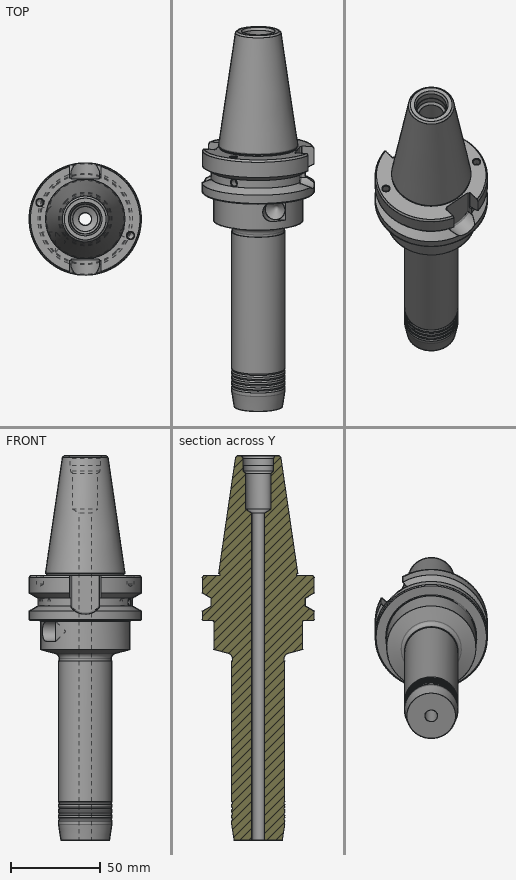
import cadquery as cq
import math

GAUGE_RADIUS = 44.45 / 2
TAPER_LENGTH = 65.4
TAPER_SLOPE = 7 / 48
TAPER_TIP_CHAMFER = 1.0

RELIEF_START_Z = -0.5
RELIEF_END_Z = -1.0
RELIEF_RADIUS = 21.6

FLANGE_RADIUS = 62.95 / 2
FLANGE_TOP_Z = -1.6
FLANGE_BOTTOM_Z = -27.0
FLANGE_TOP_CHAMFER_WIDTH = 0.8
FLANGE_TOP_CHAMFER_HEIGHT = 1.2
FLANGE_BOTTOM_CHAMFER = 0.6
GROOVE_RADIUS = 26.5
GROOVE_CENTRE_Z = -16.6
GROOVE_FLOOR_WIDTH = 4.4
GROOVE_FLANK_DEG = 30.0

KEY_WIDTH = 16.1
KEY_MOUTH_WIDTH = 17.6
KEY_FLOOR_Y = 22.5
KEY_FLOOR_FILLET = 0.6
KEY_BOTTOM_Z = -23.4
KEY_END_RADIUS = 10.2

COOLANT_DIAMETER = 3.8
COOLANT_MOUTH_DIAMETER = 4.6
COOLANT_PITCH_RADIUS = 27.0
COOLANT_ANGLE_DEG = 160.0
COOLANT_DEPTH = 5.0

BODY_RADIUS = 25.0
BODY_BOTTOM_Z = -43.2
BODY_CONE_DEG = 15.0
BODY_ROOT_FILLET = 0.5
NECK_RADIUS = 14.6
NECK_FILLET = 3.0

NOSE_RADIUS = 15.0
NOSE_TOP_Z = -49.6
NOSE_BOTTOM_Z = -150.0
NOSE_TIP_RADIUS = 13.6
NOSE_TAPER_START_Z = -141.0
RING_COUNT = 4
RING_PITCH = 3.0
RING_TOP_Z = -128.2
RING_WIDTH = 1.8
RING_DEPTH = 0.5

NOTCH_Y = -12.8
NOTCH_Z = -33.0
NOTCH_DIAMETER = 11.2
NOTCH_FLOOR_X = -16.5
NOTCH_POINT_DEG = 90.0

BORE_MOUTH_RADIUS = 9.4
BORE_MOUTH_DEPTH = 1.5
BORE_RADIUS = 8.5
BORE_DEPTH = 5.5
PILOT_RADIUS = 8.3
PILOT_DEPTH = 8.7
THREAD_RADIUS = 7.0
THREAD_END_DEPTH = 30.0
THROUGH_RADIUS = 3.5

DRILL_POINT_DEG = 118.0

MARGIN = 5.0


def turned_blank():
    """Revolve the whole outer outline about Z."""
    tip_radius = GAUGE_RADIUS - TAPER_SLOPE * TAPER_LENGTH
    chamfer_z = TAPER_LENGTH - TAPER_TIP_CHAMFER
    chamfer_radius = GAUGE_RADIUS - TAPER_SLOPE * chamfer_z

    groove_top_z = GROOVE_CENTRE_Z + GROOVE_FLOOR_WIDTH / 2
    groove_bottom_z = GROOVE_CENTRE_Z - GROOVE_FLOOR_WIDTH / 2
    flank_height = (FLANGE_RADIUS - GROOVE_RADIUS) * math.tan(math.radians(GROOVE_FLANK_DEG))

    cone = math.radians(BODY_CONE_DEG)
    cone_foot_z = BODY_BOTTOM_Z - (BODY_RADIUS - NECK_RADIUS) * math.tan(cone)
    tangent_length = NECK_FILLET * math.tan((math.pi / 2 - cone) / 2)
    fillet_start = (
        NECK_RADIUS + tangent_length * math.cos(cone),
        cone_foot_z + tangent_length * math.sin(cone),
    )
    fillet_end = (NECK_RADIUS, cone_foot_z - tangent_length)
    fillet_centre = (NECK_RADIUS + NECK_FILLET, fillet_end[1])
    middle_angle = (math.pi + math.pi / 2 + cone) / 2
    fillet_middle = (
        fillet_centre[0] + NECK_FILLET * math.cos(middle_angle),
        fillet_centre[1] + NECK_FILLET * math.sin(middle_angle),
    )

    outline = (
        cq.Workplane("XZ")
        .moveTo(0, TAPER_LENGTH)
        .lineTo(tip_radius - TAPER_TIP_CHAMFER, TAPER_LENGTH)
        .lineTo(chamfer_radius, chamfer_z)
        .lineTo(GAUGE_RADIUS, 0)
        .lineTo(GAUGE_RADIUS, RELIEF_START_Z)
        .lineTo(RELIEF_RADIUS, RELIEF_END_Z)
        .lineTo(RELIEF_RADIUS, FLANGE_TOP_Z)
        .lineTo(FLANGE_RADIUS - FLANGE_TOP_CHAMFER_WIDTH, FLANGE_TOP_Z)
        .lineTo(FLANGE_RADIUS, FLANGE_TOP_Z - FLANGE_TOP_CHAMFER_HEIGHT)
        .lineTo(FLANGE_RADIUS, groove_top_z + flank_height)
        .lineTo(GROOVE_RADIUS, groove_top_z)
        .lineTo(GROOVE_RADIUS, groove_bottom_z)
        .lineTo(FLANGE_RADIUS, groove_bottom_z - flank_height)
        .lineTo(FLANGE_RADIUS, FLANGE_BOTTOM_Z + FLANGE_BOTTOM_CHAMFER)
        .lineTo(FLANGE_RADIUS - FLANGE_BOTTOM_CHAMFER, FLANGE_BOTTOM_Z)
        .lineTo(BODY_RADIUS + BODY_ROOT_FILLET, FLANGE_BOTTOM_Z)
        .radiusArc((BODY_RADIUS, FLANGE_BOTTOM_Z - BODY_ROOT_FILLET), -BODY_ROOT_FILLET)
        .lineTo(BODY_RADIUS, BODY_BOTTOM_Z)
        .lineTo(*fillet_start)
        .threePointArc(fillet_middle, fillet_end)
        .lineTo(NECK_RADIUS, NOSE_TOP_Z)
        .lineTo(NOSE_RADIUS, NOSE_TOP_Z)
    )
    for ring in range(RING_COUNT):
        ring_z = RING_TOP_Z - ring * RING_PITCH
        outline = (
            outline.lineTo(NOSE_RADIUS, ring_z)
            .lineTo(NOSE_RADIUS - RING_DEPTH, ring_z - RING_WIDTH / 2)
            .lineTo(NOSE_RADIUS, ring_z - RING_WIDTH)
        )
    outline = (
        outline.lineTo(NOSE_RADIUS, NOSE_TAPER_START_Z)
        .lineTo(NOSE_TIP_RADIUS, NOSE_BOTTOM_Z)
        .lineTo(0, NOSE_BOTTOM_Z)
        .close()
    )
    return outline.revolve(360, (0, 0, 0), (0, 1, 0))


def bore():
    """Stepped bore from the small end, ending in a through hole."""
    cone_height = (THREAD_RADIUS - THROUGH_RADIUS) / math.tan(math.radians(DRILL_POINT_DEG / 2))
    thread_end_z = TAPER_LENGTH - THREAD_END_DEPTH
    pilot_end_z = TAPER_LENGTH - PILOT_DEPTH
    lead_in_height = PILOT_RADIUS - THREAD_RADIUS
    return (
        cq.Workplane("XZ")
        .moveTo(0, TAPER_LENGTH)
        .lineTo(BORE_MOUTH_RADIUS, TAPER_LENGTH)
        .lineTo(BORE_RADIUS, TAPER_LENGTH - BORE_MOUTH_DEPTH)
        .lineTo(BORE_RADIUS, TAPER_LENGTH - BORE_DEPTH)
        .lineTo(PILOT_RADIUS, TAPER_LENGTH - BORE_DEPTH)
        .lineTo(PILOT_RADIUS, pilot_end_z)
        .lineTo(THREAD_RADIUS, pilot_end_z - lead_in_height)
        .lineTo(THREAD_RADIUS, thread_end_z)
        .lineTo(THROUGH_RADIUS, thread_end_z - cone_height)
        .lineTo(THROUGH_RADIUS, NOSE_BOTTOM_Z)
        .lineTo(0, NOSE_BOTTOM_Z)
        .close()
        .revolve(360, (0, 0, 0), (0, 1, 0))
    )


def key_slot():
    """Round-ended slot on the +Y side, stepped wider through the upper rim."""
    depth = FLANGE_RADIUS + MARGIN - KEY_FLOOR_Y
    end_height = KEY_END_RADIUS - math.sqrt(KEY_END_RADIUS**2 - (KEY_WIDTH / 2) ** 2)
    corner_z = KEY_BOTTOM_Z + end_height
    blade = (
        cq.Workplane("XZ")
        .moveTo(-KEY_WIDTH / 2, FLANGE_TOP_Z)
        .lineTo(-KEY_WIDTH / 2, corner_z)
        .threePointArc((0, KEY_BOTTOM_Z), (KEY_WIDTH / 2, corner_z))
        .lineTo(KEY_WIDTH / 2, FLANGE_TOP_Z)
        .close()
        .extrude(-depth)
        .translate((0, KEY_FLOOR_Y, 0))
    )
    blade = blade.faces("<Y").edges("not >Z").fillet(KEY_FLOOR_FILLET)

    rim_bottom_z = GROOVE_CENTRE_Z + GROOVE_FLOOR_WIDTH / 2
    mouth = (
        cq.Workplane("XY")
        .box(KEY_MOUTH_WIDTH, depth, FLANGE_TOP_Z - rim_bottom_z, centered=(True, False, False))
        .translate((0, KEY_FLOOR_Y + KEY_FLOOR_FILLET, rim_bottom_z))
    )
    return blade.union(mouth)


def drilled_hole(start, direction, diameter, depth, point_deg):
    """Blind round hole with a conical drill point beyond its full depth."""
    radius = diameter / 2
    point_height = radius / math.tan(math.radians(point_deg / 2))
    start = cq.Vector(*start)
    direction = cq.Vector(*direction)
    barrel = cq.Solid.makeCylinder(radius, depth, start, direction)
    point = cq.Solid.makeCone(radius, 0, point_height, start + direction * depth, direction)
    return cq.Workplane(barrel.fuse(point))


def coolant_hole(start, direction):
    """Blind coolant hole with a 45 degree countersunk mouth."""
    hole = drilled_hole(start, direction, COOLANT_DIAMETER, COOLANT_DEPTH, DRILL_POINT_DEG)
    mouth_radius = COOLANT_MOUTH_DIAMETER / 2
    radius = COOLANT_DIAMETER / 2
    countersink = cq.Solid.makeCone(
        mouth_radius, radius, mouth_radius - radius, cq.Vector(*start), cq.Vector(*direction)
    )
    return hole.union(cq.Workplane(countersink))


def coolant_holes(angle_deg):
    """Hole down from the flange top and hole in from the groove floor at one angle."""
    outward_x = math.cos(math.radians(angle_deg))
    outward_y = math.sin(math.radians(angle_deg))
    top_start = (COOLANT_PITCH_RADIUS * outward_x, COOLANT_PITCH_RADIUS * outward_y, FLANGE_TOP_Z)
    groove_start = (GROOVE_RADIUS * outward_x, GROOVE_RADIUS * outward_y, GROOVE_CENTRE_Z)
    down = coolant_hole(top_start, (0, 0, -1))
    inward = coolant_hole(groove_start, (-outward_x, -outward_y, 0))
    return down.union(inward)


def balancing_notch():
    """Drilled pocket along X whose flat floor runs out through the -Y side."""
    depth = BODY_RADIUS + NOTCH_FLOOR_X
    hole = drilled_hole((-BODY_RADIUS, NOTCH_Y, NOTCH_Z), (1, 0, 0), NOTCH_DIAMETER, depth, NOTCH_POINT_DEG)
    run_out_length = BODY_RADIUS + NOTCH_Y
    run_out = cq.Workplane("XY").box(depth, run_out_length, NOTCH_DIAMETER).translate(
        (NOTCH_FLOOR_X - depth / 2, NOTCH_Y - run_out_length / 2, NOTCH_Z)
    )
    return hole.union(run_out)


result = turned_blank().cut(bore())
for turn_deg in (0, 180):
    result = result.cut(key_slot().rotate((0, 0, 0), (0, 0, 1), turn_deg))
for angle_deg in (COOLANT_ANGLE_DEG, COOLANT_ANGLE_DEG + 180):
    result = result.cut(coolant_holes(angle_deg))
result = result.cut(balancing_notch())